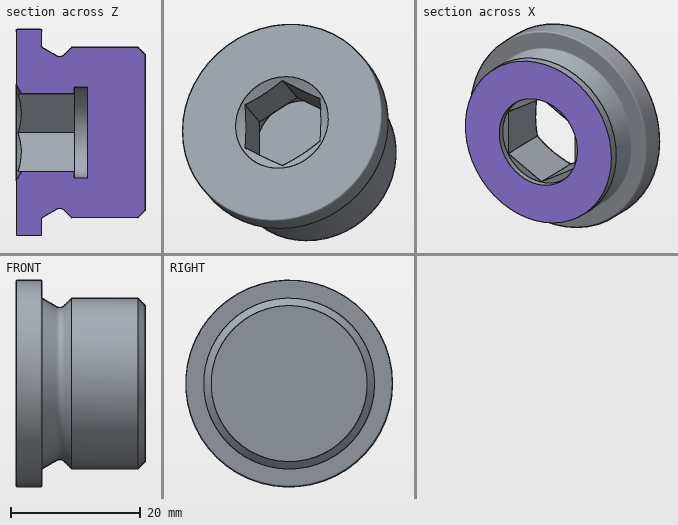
import cadquery as cq
import math

length = 20.0
flange_radius = 16.0
flange_thickness = 4.0
flange_edge_round = 0.25
body_radius = 13.2
end_chamfer = 1.15

undercut_end_x = 8.6
undercut_depth = 1.45
undercut_arc_radius = 1.0
flange_cone_angle = math.radians(30)
flange_root_fillet = 0.2
body_cone_angle = math.radians(45)

hex_across_flats = 12.0
hex_depth = 9.02
relief_radius = 7.0
relief_length = 2.0
countersink_radius = 7.42
countersink_half_angle = math.radians(60)

hex_corner_radius = hex_across_flats / 2 / math.cos(math.radians(30))
floor_radius = body_radius - undercut_depth
arc_center_radius = floor_radius + undercut_arc_radius


def undercut_points():
    """Fillet ends, arc start, arc bottom, arc end and body edge as (x, radius)."""
    arc_end_radius = arc_center_radius - undercut_arc_radius * math.cos(body_cone_angle)
    arc_end_x = undercut_end_x - (body_radius - arc_end_radius) / math.tan(body_cone_angle)
    arc_center_x = arc_end_x - undercut_arc_radius * math.sin(body_cone_angle)
    arc_start_x = arc_center_x - undercut_arc_radius * math.sin(flange_cone_angle)
    arc_start_radius = arc_center_radius - undercut_arc_radius * math.cos(flange_cone_angle)
    cone_length = arc_start_x - flange_thickness
    corner_radius = arc_start_radius + cone_length * math.tan(flange_cone_angle)
    tangent_length = flange_root_fillet * math.tan((math.pi / 2 - flange_cone_angle) / 2)
    return (
        (flange_thickness, corner_radius + tangent_length),
        (
            flange_thickness + tangent_length * math.cos(flange_cone_angle),
            corner_radius - tangent_length * math.sin(flange_cone_angle),
        ),
        (arc_start_x, arc_start_radius),
        (arc_center_x, floor_radius),
        (arc_end_x, arc_end_radius),
        (undercut_end_x, body_radius),
    )


def turned_body():
    """Flange, undercut and chamfered body, revolved from one half profile."""
    fillet_start, fillet_end, arc_start, arc_bottom, arc_end, body_edge = undercut_points()
    profile = (
        cq.Workplane("XY")
        .moveTo(0, 0)
        .lineTo(0, flange_radius - flange_edge_round)
        .radiusArc((flange_edge_round, flange_radius), flange_edge_round)
        .lineTo(flange_thickness - flange_edge_round, flange_radius)
        .radiusArc((flange_thickness, flange_radius - flange_edge_round), flange_edge_round)
        .lineTo(*fillet_start)
        .radiusArc(fillet_end, -flange_root_fillet)
        .lineTo(*arc_start)
        .threePointArc(arc_bottom, arc_end)
        .lineTo(*body_edge)
        .lineTo(length - end_chamfer, body_radius)
        .lineTo(length, body_radius - end_chamfer)
        .lineTo(length, 0)
        .close()
    )
    return profile.revolve(360, (0, 0, 0), (1, 0, 0))


def hex_socket():
    """Hexagonal prism with two of its flats facing +Y and -Y."""
    return (
        cq.Workplane("YZ")
        .transformed(rotate=(0, 0, 90))
        .polygon(6, 2 * hex_corner_radius)
        .extrude(hex_depth)
    )


def socket_relief():
    """Round recess, slightly wider than the hexagon corners, at the inner end of the socket."""
    return cq.Workplane("YZ").workplane(offset=hex_depth).circle(relief_radius).extrude(relief_length)


def countersink():
    """Lead-in cone, widest at the flange face and with its tip inside the hexagon."""
    depth = countersink_radius / math.tan(countersink_half_angle)
    return cq.Workplane(cq.Solid.makeCone(countersink_radius, 0, depth, dir=cq.Vector(1, 0, 0)))


result = turned_body().cut(hex_socket()).cut(socket_relief()).cut(countersink())